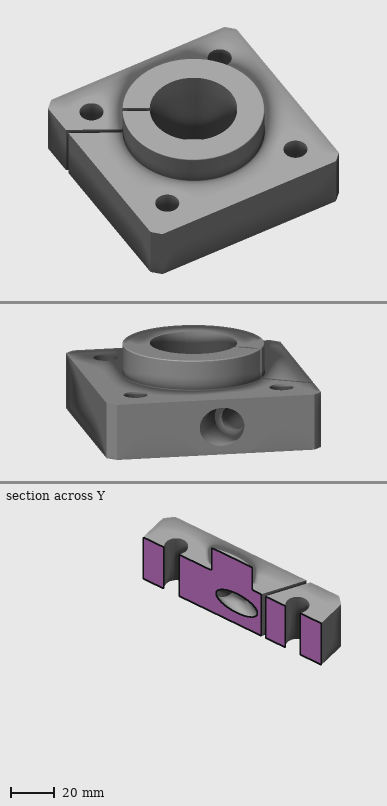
import cadquery as cq
import math

flange_side = 100
flange_height = 26
corner_chamfer = 4

total_height = 40
boss_diameter = 65
boss_rounding = 0.5
bore_diameter = 40

mount_hole_diameter = 11
mount_hole_spacing = 68

slit_width = 2
slit_angle = 240
slit_length = flange_side

screw_radius_from_axis = 27.6
screw_height = flange_height / 2
counterbore_diameter = 18
counterbore_floor_to_slit = 25
screw_hole_diameter = 11.5
screw_hole_depth_past_slit = 25


def make_body():
    flange = (
        cq.Workplane("XY")
        .rect(flange_side, flange_side)
        .extrude(flange_height)
        .edges("|Z")
        .chamfer(corner_chamfer)
    )
    body = flange.faces(">Z").workplane().circle(boss_diameter / 2).extrude(total_height - flange_height)
    body = body.faces(">Z").edges().fillet(boss_rounding)
    return body.faces(">Z[-2]").edges("%CIRCLE").fillet(boss_rounding)


def make_bore_and_mount_holes():
    bore = cq.Workplane("XY").circle(bore_diameter / 2).extrude(total_height)
    mount_holes = (
        cq.Workplane("XY")
        .rect(mount_hole_spacing, mount_hole_spacing, forConstruction=True)
        .vertices()
        .circle(mount_hole_diameter / 2)
        .extrude(flange_height)
    )
    return bore.union(mount_holes)


def make_slit():
    return (
        cq.Workplane("XY")
        .box(slit_length, slit_width, total_height, centered=(False, True, False))
        .rotate((0, 0, 0), (0, 0, 1), slit_angle)
    )


def make_screw_hole():
    angle = math.radians(slit_angle)
    slit_crossing = cq.Vector(
        screw_radius_from_axis * math.cos(angle),
        screw_radius_from_axis * math.sin(angle),
        screw_height,
    )
    inward = cq.Vector(-math.sin(angle), math.cos(angle), 0)
    counterbore_floor = slit_crossing - inward * counterbore_floor_to_slit
    counterbore = cq.Solid.makeCylinder(
        counterbore_diameter / 2, flange_side, counterbore_floor, inward * -1
    )
    screw_hole = cq.Solid.makeCylinder(
        screw_hole_diameter / 2,
        counterbore_floor_to_slit + screw_hole_depth_past_slit,
        counterbore_floor,
        inward,
    )
    return cq.Workplane(counterbore).union(cq.Workplane(screw_hole))


result = make_body().cut(make_bore_and_mount_holes()).cut(make_slit()).cut(make_screw_hole())